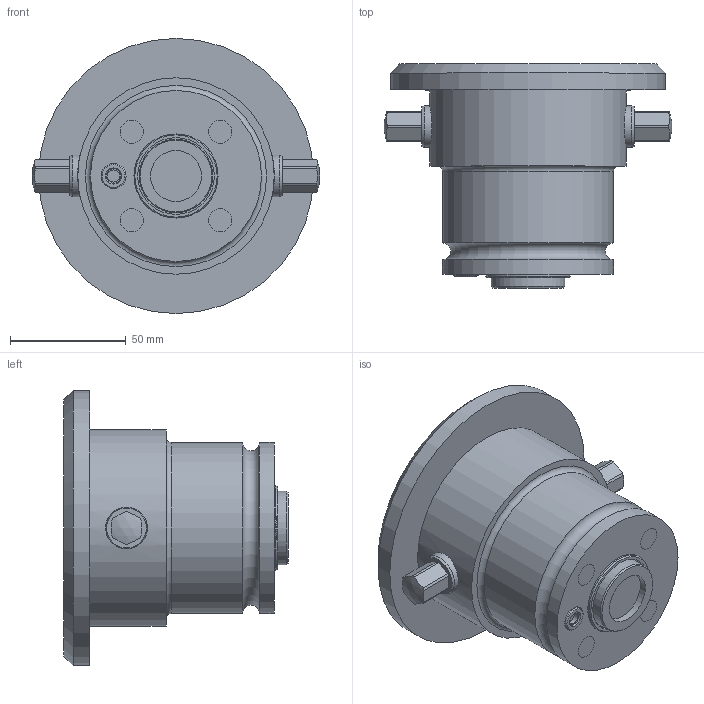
import cadquery as cq
import math


flange_radius = 59.5
flange_thickness = 11.2
flange_chamfer = 4.0

body_radius = 42.5
body_depth = 44.2
neck_radius = 37.0
neck_fillet = 2.2
face_depth = 91.0

groove_radius = 3.6
groove_to_face = 10.0
groove_depth = face_depth - groove_to_face

total_depth = 97.0
spigot_radius = 15.9
edge_chamfer_length = 0.75
edge_chamfer_height = 0.4
spigot_bore_radius = 11.0
spigot_bore_depth = 3.0
ring_radius = 18.2
ring_height = 1.5
ring_gap_radius = 16.6

bolt_circle_radius = 27.0
plug_radius = 5.0
plug_length = 10.0
plug_angles = (45, 135, 225, 315)
screw_radius = 5.4
screw_height = 1.0
screw_chamfer = 0.5
screw_mouth_radius = 3.5
screw_mouth_depth = 0.7
screw_ledge_radius = 3.1
screw_hole_radius = 2.6
screw_hole_depth = 3.0

pin_depth = 27.1
pin_span = 124.5
pin_tip_x = pin_span / 2
pin_hex_across_flats = 13.0
hexagon_turn = 30
pin_turned_radius = 7.2
pin_dome_radius = 20.0
pin_root_x = 30.0
pin_collar_radius = 9.0
pin_collar_end_x = 45.9
pin_collar_chamfer_length = 1.1
pin_collar_chamfer_height = 0.35


def rod(radius, start_depth, end_depth, x=0, z=0):
    """Cylinder along the main axis between two depths."""
    start = cq.Vector(x, -start_depth, z)
    return cq.Workplane(cq.Solid.makeCylinder(radius, end_depth - start_depth, start, cq.Vector(0, -1, 0)))


def hexagon_diameter(across_flats):
    """Diameter across the corners of a regular hexagon."""
    return across_flats / math.cos(math.pi / 6)


def make_body():
    """Flange, body, filleted neck and round groove as one revolved profile."""
    fillet_mid = neck_fillet * (1 - math.sqrt(0.5))
    profile = (
        cq.Workplane("XY")
        .moveTo(0, 0)
        .lineTo(flange_radius - flange_chamfer, 0)
        .lineTo(flange_radius, -flange_chamfer)
        .lineTo(flange_radius, -flange_thickness)
        .lineTo(body_radius, -flange_thickness)
        .lineTo(body_radius, -body_depth)
        .lineTo(neck_radius + neck_fillet, -body_depth)
        .threePointArc(
            (neck_radius + fillet_mid, -body_depth - fillet_mid),
            (neck_radius, -body_depth - neck_fillet),
        )
        .lineTo(neck_radius, -groove_depth + groove_radius)
        .threePointArc(
            (neck_radius - groove_radius, -groove_depth),
            (neck_radius, -groove_depth - groove_radius),
        )
        .lineTo(neck_radius, -face_depth)
        .lineTo(0, -face_depth)
        .close()
    )
    return profile.revolve(360, (0, 0, 0), (0, 1, 0))


def chamfered_rod(radius, end_depth):
    """Centered cylinder on the front face with a steep chamfer around its free end."""
    return rod(radius, face_depth, end_depth).faces("<Y").chamfer(edge_chamfer_length, edge_chamfer_height)


def add_spigot(part):
    """Raised ring, the spigot inside it, the gap between them and the blind bore."""
    ring_depth = face_depth + ring_height
    ring = chamfered_rod(ring_radius, ring_depth)
    gap = rod(ring_gap_radius, face_depth, ring_depth)
    spigot = chamfered_rod(spigot_radius, total_depth)
    bore = rod(spigot_bore_radius, total_depth - spigot_bore_depth, total_depth)
    return part.union(ring).cut(gap).union(spigot).cut(bore)


def add_hollow_screw(part):
    """Raised screw head with a ledged conical mouth and a blind hole, on the -X side."""
    head_depth = face_depth + screw_height
    head = rod(screw_radius, face_depth, head_depth, x=-bolt_circle_radius)
    head = head.faces("<Y").chamfer(screw_chamfer)
    head_center = cq.Vector(-bolt_circle_radius, -head_depth, 0)
    hole = rod(screw_hole_radius, head_depth - screw_hole_depth, head_depth, x=-bolt_circle_radius)
    mouth = cq.Workplane(
        cq.Solid.makeCone(
            screw_mouth_radius,
            screw_ledge_radius,
            screw_mouth_depth,
            head_center,
            cq.Vector(0, 1, 0),
        )
    )
    return part.union(head).cut(hole).cut(mouth)


def add_flush_plugs(part):
    """Four plugs flush with the front face; their round end faces stay distinct."""
    for angle in plug_angles:
        x = bolt_circle_radius * math.cos(math.radians(angle))
        z = bolt_circle_radius * math.sin(math.radians(angle))
        plug = rod(plug_radius, face_depth - plug_length, face_depth, x, z)
        part = part.cut(plug, clean=False).union(plug, clean=False)
    return part


def make_pin():
    """Pin on the +X side: a turned-down, domed hexagon standing on a round collar."""
    root = cq.Workplane("YZ", origin=(pin_root_x, -pin_depth, 0))
    length = pin_tip_x - pin_root_x
    turned = root.circle(pin_turned_radius).extrude(length)
    dome_center = (pin_tip_x - pin_dome_radius, -pin_depth, 0)
    dome = cq.Workplane("XY", origin=dome_center).sphere(pin_dome_radius)
    hexagon = (
        root.transformed(rotate=(0, 0, hexagon_turn))
        .polygon(6, hexagon_diameter(pin_hex_across_flats))
        .extrude(length)
        .intersect(turned)
        .intersect(dome)
    )
    collar = (
        root.circle(pin_collar_radius)
        .extrude(pin_collar_end_x - pin_root_x)
        .faces(">X")
        .chamfer(pin_collar_chamfer_length, pin_collar_chamfer_height)
    )
    return collar.union(hexagon)


pin = make_pin()
result = make_body().union(pin).union(pin.mirror("YZ"))
result = add_spigot(result)
result = add_hollow_screw(result)
result = add_flush_plugs(result)